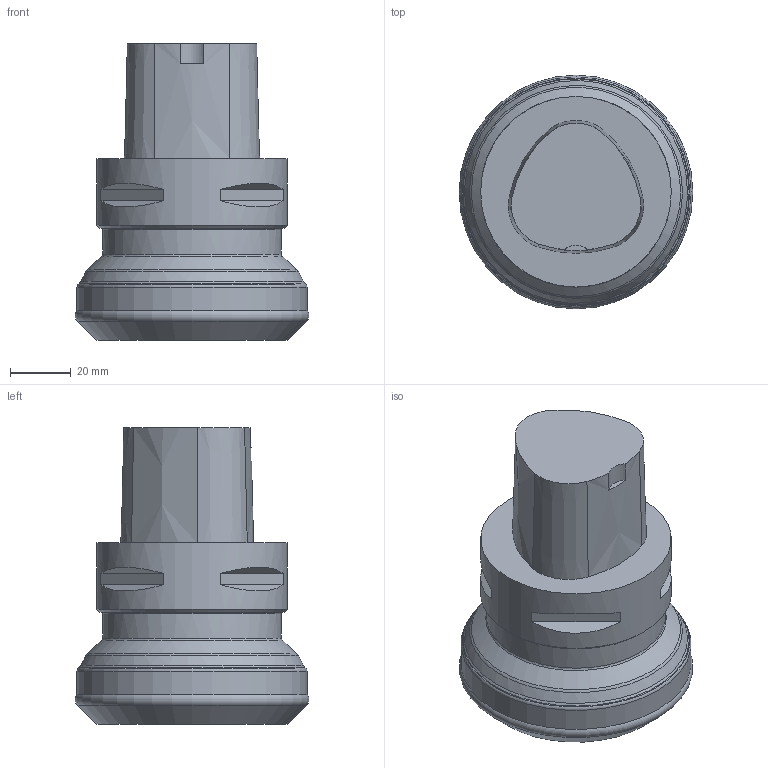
import cadquery as cq
import math

CUTTER_HEIGHT = 9.8
COLLAR_TOP_Z = 17.5
CONE_BREAK_Z = 23.1
NECK_BOTTOM_Z = 28.1
FLANGE_BOTTOM_Z = 37.0
FLANGE_TOP_Z = 60.0
SHANK_HEIGHT = 38.05
SHANK_TOP_Z = FLANGE_TOP_Z + SHANK_HEIGHT

CUTTER_RADIUS = 77.23 / 2
CUTTER_NOSE_RADIUS = 2.52

COLLAR_RADIUS = 76.01 / 2
NECK_RADIUS = 59.0 / 2
FLANGE_RADIUS = 63.0 / 2
FLANGE_CHAMFER = 1.0
CONE_BREAK_RADIUS = 34.9
CONE_FOOT_RADIUS = 37.05
FLANGE_FILLET = 0.5
NECK_FILLET = 1.0
CONE_FILLET = 3.0
COLLAR_FILLET = 1.5

SLOT_COUNT = 4
SLOT_FIRST_ANGLE = 45.0
SLOT_CENTER_Z = 48.0
SLOT_FLOOR_DISTANCE = 27.9
SLOT_FLOOR_WIDTH = 3.7
SLOT_WALL_ANGLE = math.radians(30)

LOBE_COUNT = 3
LOBE_REACH = 23.57
FLAT_REACH = 20.34
LOBE_RADIUS = 14.5
SHANK_TAPER = math.degrees(math.atan(1 / 40))

NOTCH_RADIUS = 5.7
NOTCH_BOTTOM_Y = -17.76
NOTCH_HEIGHT = 6.65


def polar(radius, angle):
    return (radius * math.cos(angle), radius * math.sin(angle))


def shifted(point, radius, angle):
    """Point at the given distance and direction from another point."""
    step = polar(radius, angle)
    return (point[0] + step[0], point[1] + step[1])


def make_cutter():
    """Disc with a 45 degree lower cone that runs tangentially into a rounded rim."""
    nose_end_angle = math.acos(1 - (CUTTER_RADIUS - COLLAR_RADIUS) / CUTTER_NOSE_RADIUS)
    nose_center = (CUTTER_RADIUS - CUTTER_NOSE_RADIUS,
                   CUTTER_HEIGHT - CUTTER_NOSE_RADIUS * math.sin(nose_end_angle))
    cone_top = shifted(nose_center, CUTTER_NOSE_RADIUS, -math.pi / 4)
    face_radius = cone_top[0] - cone_top[1]
    profile = (
        cq.Workplane("XZ")
        .lineTo(face_radius, 0)
        .lineTo(*cone_top)
        .threePointArc(shifted(nose_center, CUTTER_NOSE_RADIUS, 0), (COLLAR_RADIUS, CUTTER_HEIGHT))
        .lineTo(0, CUTTER_HEIGHT)
        .close()
    )
    return profile.revolve(360, (0, 0, 0), (0, 1, 0))


def make_holder_body():
    """Collar, two shoulder cones, neck and flange as one revolved solid."""
    rim_center = (COLLAR_RADIUS - COLLAR_FILLET, COLLAR_TOP_Z)
    rim_mid = shifted(rim_center, COLLAR_FILLET, math.pi / 8)
    rim_end = shifted(rim_center, COLLAR_FILLET, math.pi / 4)
    foot_z = rim_end[1] + rim_end[0] - CONE_FOOT_RADIUS

    profile = (
        cq.Workplane("XZ")
        .moveTo(0, CUTTER_HEIGHT)
        .lineTo(COLLAR_RADIUS, CUTTER_HEIGHT)
        .lineTo(COLLAR_RADIUS, COLLAR_TOP_Z)
        .threePointArc(rim_mid, rim_end)
        .lineTo(CONE_FOOT_RADIUS, foot_z)
        .lineTo(CONE_BREAK_RADIUS, CONE_BREAK_Z)
        .lineTo(NECK_RADIUS, NECK_BOTTOM_Z)
        .lineTo(NECK_RADIUS, FLANGE_BOTTOM_Z)
        .lineTo(FLANGE_RADIUS - FLANGE_CHAMFER, FLANGE_BOTTOM_Z)
        .lineTo(FLANGE_RADIUS, FLANGE_BOTTOM_Z + FLANGE_CHAMFER)
        .lineTo(FLANGE_RADIUS, FLANGE_TOP_Z)
        .lineTo(0, FLANGE_TOP_Z)
        .close()
    )
    body = profile.revolve(360, (0, 0, 0), (0, 1, 0))
    body = fillet_ring(body, CONE_FOOT_RADIUS, foot_z, CONE_FILLET)
    body = fillet_ring(body, CONE_BREAK_RADIUS, CONE_BREAK_Z, CONE_FILLET)
    body = fillet_ring(body, NECK_RADIUS, NECK_BOTTOM_Z, NECK_FILLET)
    return fillet_ring(body, NECK_RADIUS, FLANGE_BOTTOM_Z, FLANGE_FILLET)


def fillet_ring(body, ring_radius, ring_z, fillet_radius):
    """Round the circular edge of the given radius and height."""
    margin = 0.01
    reach = ring_radius + margin
    selector = cq.selectors.BoxSelector(
        (-reach, -reach, ring_z - margin), (reach, reach, ring_z + margin), boundingbox=True
    )
    outer_edge = body.edges("%CIRCLE").edges(selector).edges(cq.selectors.RadiusNthSelector(-1))
    return outer_edge.fillet(fillet_radius)


def make_slot_cutter(angle):
    """V-walled prism with a flat floor, running tangentially across the flange."""
    depth = FLANGE_RADIUS - SLOT_FLOOR_DISTANCE
    half_floor = SLOT_FLOOR_WIDTH / 2
    half_mouth = half_floor + depth * math.tan(SLOT_WALL_ANGLE)
    section = [
        (SLOT_FLOOR_DISTANCE, SLOT_CENTER_Z - half_floor),
        (FLANGE_RADIUS, SLOT_CENTER_Z - half_mouth),
        (FLANGE_RADIUS, SLOT_CENTER_Z + half_mouth),
        (SLOT_FLOOR_DISTANCE, SLOT_CENTER_Z + half_floor),
    ]
    prism = cq.Workplane("XZ").polyline(section).close().extrude(FLANGE_RADIUS, both=True)
    return prism.rotate((0, 0, 0), (0, 0, 1), angle)


def make_shank():
    """Tapered shank on a three-lobed outline of tangent arcs, one lobe toward +Y."""
    lobe_center_distance = LOBE_REACH - LOBE_RADIUS
    half_pitch = math.pi / LOBE_COUNT
    across = lobe_center_distance * math.sin(half_pitch)
    along = lobe_center_distance * math.cos(half_pitch)
    inset = FLAT_REACH - along
    broad_radius = (across**2 + inset**2 - LOBE_RADIUS**2) / (2 * (inset - LOBE_RADIUS))
    broad_center_distance = broad_radius - FLAT_REACH
    tangent_angle = math.atan2(across, along + broad_center_distance)

    def broad_end(direction, side):
        center = polar(broad_center_distance, direction + math.pi)
        return shifted(center, broad_radius, direction + side * tangent_angle)

    first_broad = -math.pi / 2
    outline = cq.Workplane("XY").workplane(offset=FLANGE_TOP_Z).moveTo(*broad_end(first_broad, -1))
    for index in range(LOBE_COUNT):
        broad = first_broad + 2 * half_pitch * index
        lobe = broad + half_pitch
        next_broad = lobe + half_pitch
        outline = outline.threePointArc(polar(FLAT_REACH, broad), broad_end(broad, 1))
        outline = outline.threePointArc(polar(LOBE_REACH, lobe), broad_end(next_broad, -1))
    return outline.close().extrude(SHANK_HEIGHT, taper=SHANK_TAPER)


def make_notch_cutter():
    """Upright cylinder that leaves a round-backed notch in the -Y side of the shank."""
    return (
        cq.Workplane("XY")
        .workplane(offset=SHANK_TOP_Z - NOTCH_HEIGHT)
        .center(0, NOTCH_BOTTOM_Y - NOTCH_RADIUS)
        .circle(NOTCH_RADIUS)
        .extrude(NOTCH_HEIGHT)
    )


def make_holder():
    holder = make_holder_body()
    for index in range(SLOT_COUNT):
        holder = holder.cut(make_slot_cutter(SLOT_FIRST_ANGLE + index * 360 / SLOT_COUNT))
    return holder.union(make_shank()).cut(make_notch_cutter())


cutter = make_cutter()
holder = make_holder()

result = cq.Compound.makeCompound([cutter.val(), *holder.vals()])